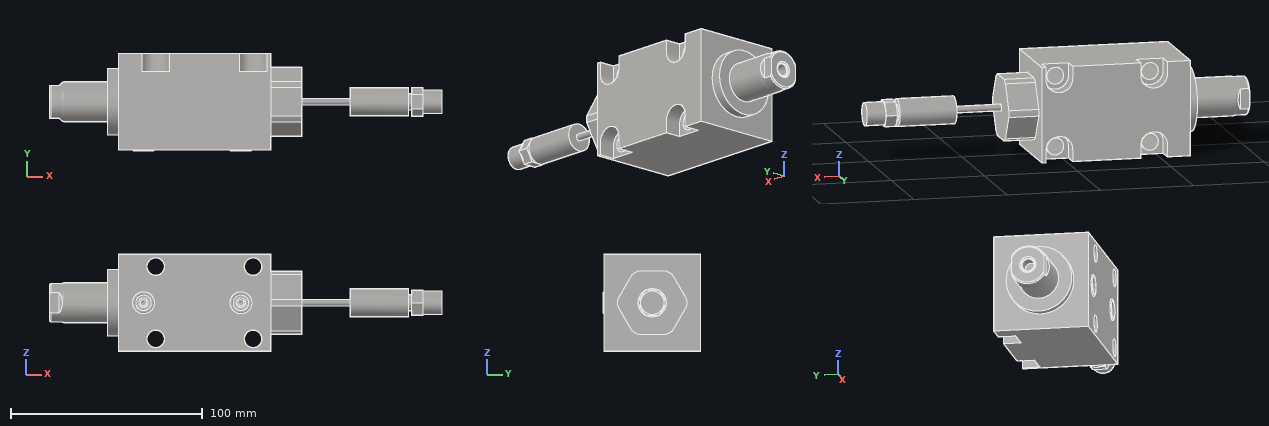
import cadquery as cq
import math


total_length = 204.72
knob_length = 30.2
flange_length = 5.7
block_length = 79.6
large_nut_length = 16.1
cable_length = 25.2
sensor_length = 30.5
neck_length = 1.5
small_nut_length = 5.9

flange_start = knob_length
block_start = flange_start + flange_length
large_nut_start = block_start + block_length
cable_start = large_nut_start + large_nut_length
sensor_start = cable_start + cable_length
neck_start = sensor_start + sensor_length
small_nut_start = neck_start + neck_length
connector_start = small_nut_start + small_nut_length
connector_length = total_length - connector_start

overall_depth = 50.88
ring_protrusion = 0.5
block_depth = overall_depth - ring_protrusion
block_height = 50.8
front_y = -block_depth / 2
back_y = block_depth / 2

column_count = 2
bolt_spacing_x = 50.8
bolt_spacing_z = 37.7
bolt_first_x = block_start + 19.5
bolt_hole_diameter = 9.0
head_slot_width = 14.3
head_slot_depth = 9.3

port_offset_x = 6.35
port_first_x = bolt_first_x - port_offset_x
seal_recess_diameter = 11.4
seal_section_diameter = 1.78
seal_squeeze = 0.08
seal_recess_depth = seal_section_diameter - ring_protrusion - seal_squeeze
port_mouth_diameter = 4.9
port_mouth_depth = 2.0
port_bore_diameter = 3.2
port_bore_depth = 8.0
drill_half_angle = 59.0

knob_diameter = 20.9
knob_tip_diameter = 20.3
knob_tip_length = 6.5
knob_shoulder_length = 1.2
knob_tip_chamfer = 0.7
knob_flat_half_width = 8.6
knob_flat_length = 5.1
socket_mouth_diameter = 7.4
socket_mouth_depth = 1.0
socket_chamfer = 0.6
socket_diameter = 6.4
socket_depth = 10.0

flange_diameter = 34.8
large_nut_across_flats = 32.9
large_nut_turned_diameter = 36.1
cable_diameter = 3.6
sensor_diameter = 14.7
neck_diameter = 8.6
small_nut_across_flats = 13.1
connector_diameter = 12.3


def x_plane(x):
    """Plane normal to X whose local x runs along +Y and local y along +Z."""
    return cq.Workplane("YZ", origin=(x, 0, 0))


def front_plane(x, y, z):
    """Plane facing -Y at the given point, so negative extrusions run towards +Y."""
    return cq.Workplane("XZ", origin=(x, y, z))


def rod(x, length, diameter):
    """Round bar along X, starting at the given x."""
    return x_plane(x).circle(diameter / 2).extrude(length)


def hexagon(x, length, across_flats):
    """Hexagonal bar with corners on +Y and -Y and flats facing +Z and -Z."""
    across_corners = across_flats / math.cos(math.pi / 6)
    return x_plane(x).polygon(6, across_corners).extrude(length)


def make_knob():
    """Turned knob with two wrench flats and a socket in its tip."""
    tip_radius = knob_tip_diameter / 2
    body_radius = knob_diameter / 2
    profile = (
        cq.Workplane("XY")
        .moveTo(0, 0)
        .lineTo(0, tip_radius - knob_tip_chamfer)
        .lineTo(knob_tip_chamfer, tip_radius)
        .lineTo(knob_tip_length, tip_radius)
        .lineTo(knob_tip_length + knob_shoulder_length, body_radius)
        .lineTo(knob_length, body_radius)
        .lineTo(knob_length, 0)
        .close()
    )
    knob = profile.revolve(360, (0, 0, 0), (1, 0, 0))
    for side in (1, -1):
        knob = knob.cut(make_flat_cutter(side))
    return knob.cut(make_socket())


def make_flat_cutter(side):
    """Wrench flat on one side in Y, running out to the knob surface at 45 degrees."""
    runout = knob_diameter / 2 - knob_flat_half_width
    return (
        cq.Workplane("XY", origin=(0, 0, -knob_diameter / 2))
        .moveTo(0, side * knob_flat_half_width)
        .lineTo(knob_flat_length, side * knob_flat_half_width)
        .lineTo(knob_flat_length + runout, side * knob_diameter / 2)
        .lineTo(0, side * knob_diameter / 2)
        .close()
        .extrude(knob_diameter)
    )


def make_socket():
    """Blind hole in the knob tip with a short, wider, chamfered mouth."""
    mouth_radius = socket_mouth_diameter / 2
    radius = socket_diameter / 2
    return (
        cq.Workplane("XY")
        .moveTo(0, 0)
        .lineTo(0, mouth_radius + socket_chamfer)
        .lineTo(socket_chamfer, mouth_radius)
        .lineTo(socket_mouth_depth, mouth_radius)
        .lineTo(socket_mouth_depth, radius)
        .lineTo(socket_depth, radius)
        .lineTo(socket_depth, 0)
        .close()
        .revolve(360, (0, 0, 0), (1, 0, 0))
    )


def make_bolt_cutter(x, side):
    """Through hole plus a round-ended head slot open to the top or bottom face."""
    z = side * bolt_spacing_z / 2
    hole = front_plane(x, front_y, z).circle(bolt_hole_diameter / 2).extrude(-block_depth)
    seat_y = back_y - head_slot_depth
    round_end = front_plane(x, seat_y, z).circle(head_slot_width / 2).extrude(-head_slot_depth)
    edge_distance = block_height / 2 - abs(z)
    channel = (
        front_plane(x, seat_y, z + side * edge_distance / 2)
        .rect(head_slot_width, edge_distance)
        .extrude(-head_slot_depth)
    )
    return hole.union(round_end).union(channel)


def make_port_cutter(x):
    """Seal recess, port mouth and drilled bore with a conical tip, entered from the front."""
    seal_floor = seal_recess_depth
    mouth_floor = seal_floor + port_mouth_depth
    bore_end = mouth_floor + port_bore_depth
    bore_radius = port_bore_diameter / 2
    drill_tip = bore_end + bore_radius / math.tan(math.radians(drill_half_angle))
    return (
        cq.Workplane("XY", origin=(x, front_y, 0))
        .moveTo(0, 0)
        .lineTo(seal_recess_diameter / 2, 0)
        .lineTo(seal_recess_diameter / 2, seal_floor)
        .lineTo(port_mouth_diameter / 2, seal_floor)
        .lineTo(bore_radius, mouth_floor)
        .lineTo(bore_radius, bore_end)
        .lineTo(0, drill_tip)
        .close()
        .revolve(360, (0, 0, 0), (0, 1, 0))
    )


def make_seal_ring(x):
    """O-ring squeezed into the wall and floor of its recess, standing proud of the front face."""
    section_radius = seal_section_diameter / 2
    ring_radius = seal_recess_diameter / 2 - section_radius + seal_squeeze
    section_y = front_y - ring_protrusion + section_radius
    return (
        cq.Workplane("XY", origin=(x, section_y, 0))
        .center(ring_radius, 0)
        .circle(section_radius)
        .revolve(360, (-ring_radius, 0, 0), (-ring_radius, 1, 0))
    )


def make_block():
    """Rectangular block with two columns of bolt holes and one sealed port per column."""
    block = x_plane(block_start).rect(block_depth, block_height).extrude(block_length)
    for column in range(column_count):
        shift = column * bolt_spacing_x
        for side in (1, -1):
            block = block.cut(make_bolt_cutter(bolt_first_x + shift, side))
        block = block.cut(make_port_cutter(port_first_x + shift))
        block = block.union(make_seal_ring(port_first_x + shift))
    return block


def make_large_nut():
    """Hexagon whose sharp corners are turned down to a cylinder."""
    turned = rod(large_nut_start, large_nut_length, large_nut_turned_diameter)
    return hexagon(large_nut_start, large_nut_length, large_nut_across_flats).intersect(turned)


def make_sensor():
    """Cable, sensor body, neck, small nut and connector in a row."""
    return (
        rod(cable_start, cable_length, cable_diameter)
        .union(rod(sensor_start, sensor_length, sensor_diameter))
        .union(rod(neck_start, neck_length, neck_diameter))
        .union(hexagon(small_nut_start, small_nut_length, small_nut_across_flats))
        .union(rod(connector_start, connector_length, connector_diameter))
    )


result = (
    make_block()
    .union(rod(flange_start, flange_length, flange_diameter))
    .union(make_knob())
    .union(make_large_nut())
    .union(make_sensor())
)